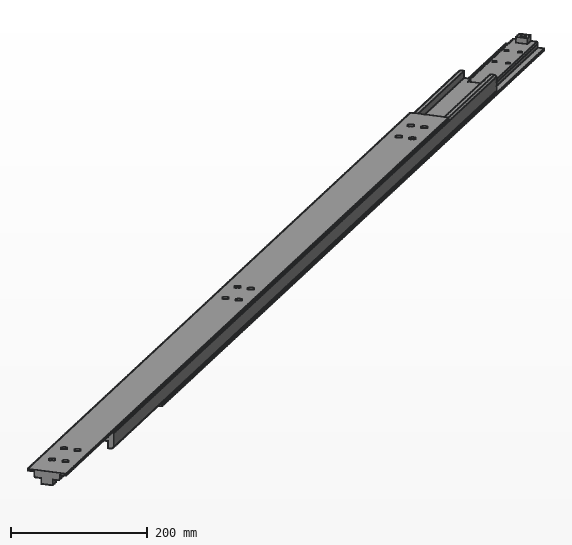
import cadquery as cq


slide_width = 60.0
slide_height = 34.0
member_length = 1600.0
rail_travel = 200.0

flange_thickness = 3.0
rail_height = 12.0
stem_width = 40.0
stem_chamfer_width = 1.5
stem_chamfer_height = 3.0

hole_diameter = 6.5
counterbore_diameter = 10.0
counterbore_depth = 3.0
hole_pair_spacing = 21.0
hole_pitch = 50.0

stop_width = 18.0
stop_length = 15.0
stop_top = 21.0
stop_hole_diameter = 9.0
stop_hole_floor = 6.0

side_clearance = 0.5
frame_height = slide_height - 2 * flange_thickness
frame_chamfer = 3.0
channel_width = stem_width + 2 * side_clearance
web_thickness = 6.0
channel_depth = (frame_height - web_thickness) / 2

notch_width = 20.0
notch_depth = 13.0


def rail_bar():
    """T-section bar centred on Y, its flange lying on Z = 0."""
    flange = cq.Workplane("XY").box(
        slide_width, member_length, flange_thickness, centered=(True, True, False)
    )
    stem_side = stem_width / 2
    stem_top_side = stem_side - stem_chamfer_width
    shoulder = rail_height - stem_chamfer_height
    stem = (
        cq.Workplane("XZ")
        .moveTo(-stem_side, 0)
        .lineTo(stem_side, 0)
        .lineTo(stem_side, shoulder)
        .lineTo(stem_top_side, rail_height)
        .lineTo(-stem_top_side, rail_height)
        .lineTo(-stem_side, shoulder)
        .close()
        .extrude(member_length / 2, both=True)
    )
    return flange.union(stem)


def mounting_hole_points():
    """Two rows of hole pairs near each end of the rail and two about its middle."""
    rail_end = member_length / 2
    pair_offsets = [hole_pitch / 2, rail_end - 2 * hole_pitch, rail_end - hole_pitch]
    return [
        (side * hole_pair_spacing / 2, end * offset)
        for side in (-1, 1)
        for end in (-1, 1)
        for offset in pair_offsets
    ]


def make_rail():
    """Rail with its stop block at the +Y end and counterbores in the flange face."""
    stop_center_y = (member_length - stop_length) / 2
    stop = (
        cq.Workplane("XY")
        .center(0, stop_center_y)
        .box(stop_width, stop_length, stop_top, centered=(True, True, False))
    )
    stop_hole = (
        cq.Workplane("XY")
        .center(0, stop_center_y)
        .circle(stop_hole_diameter / 2)
        .extrude(stop_top - stop_hole_floor)
        .translate((0, 0, stop_hole_floor))
    )
    points = mounting_hole_points()
    holes = cq.Workplane("XY").pushPoints(points).circle(hole_diameter / 2).extrude(rail_height)
    counterbores = (
        cq.Workplane("XY").pushPoints(points).circle(counterbore_diameter / 2).extrude(counterbore_depth)
    )
    return rail_bar().union(stop).cut(stop_hole).cut(holes).cut(counterbores)


def make_frame():
    """H-section frame centred on the origin, with a notch in each end of its web."""
    frame = cq.Workplane("XY").box(slide_width, member_length, frame_height)
    frame = frame.edges("|Y").chamfer(frame_chamfer)
    channel = cq.Workplane("XY").box(channel_width, member_length, channel_depth)
    notch = cq.Workplane("XY").box(notch_width, 2 * notch_depth, web_thickness)
    for side in (-1, 1):
        frame = frame.cut(channel.translate((0, 0, side * (frame_height - channel_depth) / 2)))
        frame = frame.cut(notch.translate((0, side * member_length / 2, 0)))
    return frame


middle_frame = make_frame()

rails = []
for turn in (0, 180):
    lower_position = make_rail().translate((0, rail_travel, -slide_height / 2))
    rails.append(lower_position.rotate((0, 0, 0), (1, 0, 0), turn))

result = cq.Compound.makeCompound([middle_frame.val(), *[rail.val() for rail in rails]])